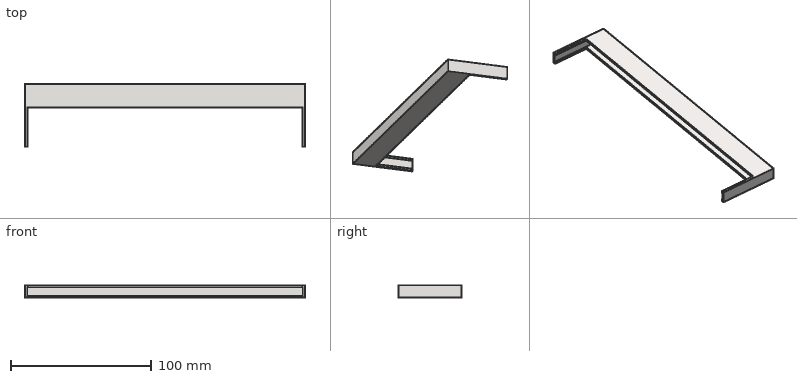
import cadquery as cq

LENGTH = 200.0
DEPTH = 45.0
HEIGHT = 9.0
BAR_DEPTH = 17.0
ARM_THICKNESS = 2.0
WALL = 1.5
SLOT_HEIGHT = 6.0

ARM_LENGTH = DEPTH - BAR_DEPTH
FRONT = -DEPTH / 2


def front_box(width, depth, height):
    """Box centred on X and Z that starts at the front plane and runs back along +Y."""
    box = cq.Workplane("XY").box(width, depth, height, centered=(True, False, True))
    return box.translate((0, FRONT, 0))


def u_frame():
    """Crossbar with an arm reaching forward at each end."""
    opening = front_box(LENGTH - 2 * ARM_THICKNESS, ARM_LENGTH, HEIGHT)
    return front_box(LENGTH, DEPTH, HEIGHT).cut(opening)


def panel_slot():
    """Slot that grooves both arms and hollows the crossbar, open at the front."""
    return front_box(LENGTH - 2 * WALL, DEPTH - WALL, SLOT_HEIGHT)


result = u_frame().cut(panel_slot())